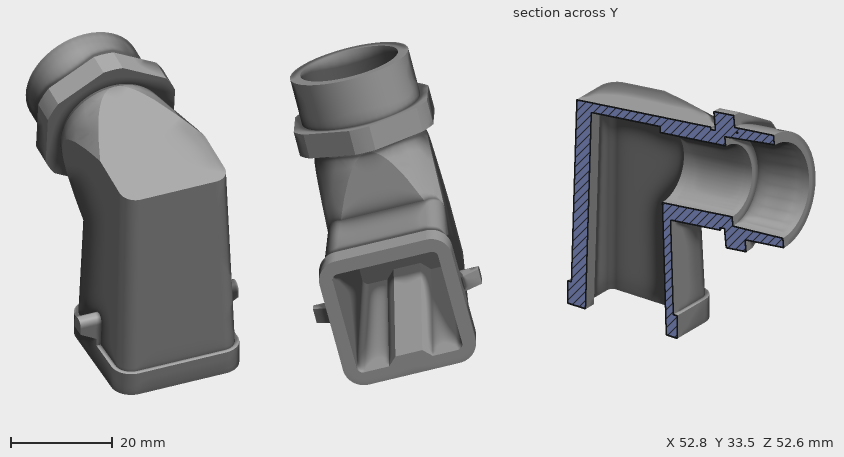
import math

import cadquery as cq

flange_width = 26.8
flange_height = 5.0
flange_corner_radius = 4.2

draft_angle = 1.9
draft_slope = math.tan(math.radians(draft_angle))
hood_foot_half_width = 12.5
hood_half_width = hood_foot_half_width + flange_height * draft_slope
hood_corner_radius = 3.2
wall = 2.0
roof_thickness = 2.2
block_height = 60.0
beyond = 80.0

outlet_tilt = math.radians(6.0)
mouth_x = -38.19
mouth_z = 39.15
tube_diameter = 24.0
hex_start = 9.5
hex_length = 5.0
hex_across_flats = 27.0
hex_corner_diameter = 29.1
neck_diameter = 21.0
neck_length = 1.0
mouth_bore_diameter = 19.8
bore_bottom_diameter = 18.92
bore_depth = 12.2
passage_diameter = 15.0

horn_start_radius = 11.0
horn_slope = 0.236
roof_height = horn_start_radius

pin_diameter = 3.1
pin_z = 10.0
pin_span = 33.5
pin_web_top_z = 8.5
pin_web_bottom_z = 6.6

rib_base_width = 8.85
rib_height = 1.7

hex_end = hex_start + hex_length
horn_start = hex_end + neck_length

outlet_plane = cq.Plane(
    origin=(mouth_x, 0, mouth_z),
    xDir=(math.sin(outlet_tilt), 0, math.cos(outlet_tilt)),
    normal=(math.cos(outlet_tilt), 0, -math.sin(outlet_tilt)),
)


def outlet_cylinder(diameter, start, length):
    """Cylinder on the outlet axis."""
    return cq.Workplane(outlet_plane).workplane(offset=start).circle(diameter / 2).extrude(length)


def outlet_cone(start_radius, end_radius, start, length):
    """Cone frustum on the outlet axis."""
    start_point = outlet_plane.toWorldCoords((0, 0, start))
    cone = cq.Solid.makeCone(start_radius, end_radius, length, start_point, outlet_plane.zDir)
    return cq.Workplane(cone)


def layer_along_outlet(bottom, top):
    """Everything between two heights measured square to the outlet axis."""
    return (
        cq.Workplane(outlet_plane)
        .center((bottom + top) / 2, 0)
        .rect(top - bottom, beyond)
        .extrude(beyond)
    )


def drafted_block(left, half_width, corner_radius, far_side_only=False):
    """Block from X = left to half_width, drawing in upward, with all or only the +X corners rounded."""
    block = (
        cq.Workplane("XY")
        .center((left + half_width) / 2, 0)
        .rect(half_width - left, 2 * half_width)
        .extrude(block_height, taper=draft_angle)
    )
    corners = block.edges("not (|X or |Y)")
    if far_side_only:
        corners = corners.edges(">X")
    return corners.fillet(corner_radius)


def flange():
    return (
        cq.Workplane("XY")
        .rect(flange_width, flange_width)
        .extrude(flange_height)
        .edges("|Z")
        .fillet(flange_corner_radius)
    )


def hood():
    """Drafted column up to the outlet axis, joined to the conical horn above it."""
    column = drafted_block(-hood_half_width, hood_half_width, hood_corner_radius)
    column = column.intersect(layer_along_outlet(-beyond, 0))

    horn_length = beyond - horn_start
    horn_end_radius = horn_start_radius + horn_slope * horn_length
    horn = drafted_block(-beyond, hood_half_width, hood_corner_radius, far_side_only=True)
    horn = horn.intersect(layer_along_outlet(-horn_start_radius, roof_height))
    horn = horn.intersect(outlet_cone(horn_start_radius, horn_end_radius, horn_start, horn_length))
    return column.union(horn)


def hex_collar():
    """Hexagon with two upright flats and turned corners."""
    across_corners = hex_across_flats / math.cos(math.pi / 6)
    hexagon = (
        cq.Workplane(outlet_plane)
        .workplane(offset=hex_start)
        .polygon(6, across_corners)
        .extrude(hex_length)
    )
    return hexagon.intersect(outlet_cylinder(hex_corner_diameter, hex_start, hex_length))


def locking_pins():
    """Round pins with a web that slopes down to the flange; both sides in one bar."""
    half_span = pin_span / 2
    half_flange = flange_width / 2
    pin = cq.Workplane("XZ").center(0, pin_z).circle(pin_diameter / 2).extrude(half_span, both=True)
    web_outline = [
        (-half_span, pin_z),
        (-half_span, pin_web_top_z),
        (-half_flange, pin_web_bottom_z),
        (-half_flange, 0),
        (half_flange, 0),
        (half_flange, pin_web_bottom_z),
        (half_span, pin_web_top_z),
        (half_span, pin_z),
    ]
    web = cq.Workplane("YZ").polyline(web_outline).close().extrude(pin_diameter / 2, both=True)
    return pin.union(web)


def cavity():
    """Inside of the hood, open at the bottom, less the rib on its +X wall."""
    half_width = hood_half_width - wall
    space = drafted_block(-half_width, half_width, hood_corner_radius - wall)
    space = space.intersect(layer_along_outlet(-beyond, roof_height - roof_thickness))
    half_base = rib_base_width / 2
    half_top = half_base - rib_height
    rib_section = [
        (half_width + wall / 2, -half_base),
        (half_width, -half_base),
        (half_width - rib_height, -half_top),
        (half_width - rib_height, half_top),
        (half_width, half_base),
        (half_width + wall / 2, half_base),
    ]
    wall_line = [(0, 0), (-draft_slope * block_height, block_height)]
    path = cq.Workplane("XZ").polyline(wall_line)
    rib = cq.Workplane("XY").polyline(rib_section).close().sweep(path)
    return space.cut(rib)


def bores():
    """Tapered mouth bore and the passage that runs on into the cavity as far as X = 0."""
    passage_length = -mouth_x / math.cos(outlet_tilt)
    mouth_bore = outlet_cone(mouth_bore_diameter / 2, bore_bottom_diameter / 2, 0, bore_depth)
    return mouth_bore.union(outlet_cylinder(passage_diameter, 0, passage_length))


def outlet():
    """Tube, hexagon collar and neck; the neck runs a little way into the horn."""
    tube = outlet_cylinder(tube_diameter, 0, hex_end)
    neck = outlet_cylinder(neck_diameter, hex_end, 2 * neck_length)
    return tube.union(hex_collar()).union(neck)


outside = flange().union(locking_pins()).union(hood()).union(outlet())
result = outside.cut(cavity()).cut(bores())